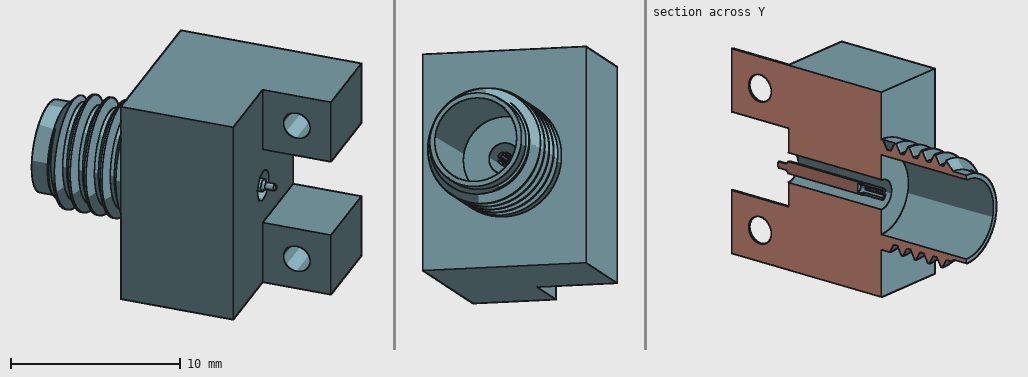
import cadquery as cq

total_length = 17.9
block_width = 10.0
block_height = 13.0
block_front = 6.48
block_back = 13.59
tab_height = 4.03
tab_front_y = -0.09
tab_hole_radius = 0.85
tab_hole_height = 4.5
tab_length = total_length - block_back
tab_hole_x = block_back + tab_length / 2

nose_radius = 2.81
nose_length = 1.0
thread_radius = 3.5
lead_chamfer = thread_radius - nose_radius
mouth_radius = 2.5
mouth_depth = block_front
bore_radius = 0.93

pitch = 1.0
thread_turns = 5
groove_end = 5.92
groove_start = groove_end - thread_turns * pitch
root_radius = 2.95
root_width = 0.25
crest_width = 0.13
flank_run = (pitch - root_width - crest_width) / 2
groove_overshoot = 0.05

contact_radius = 0.4
contact_front = mouth_depth
tail_radius = 0.21
tail_length = 0.82
tip_chamfer = 0.1
socket_radius = 0.25
socket_depth = 1.79
slot_width = 0.2
slot_depth = 1.43


def make_block():
    depth = block_back - block_front
    return cq.Workplane("XY").box(depth, block_width, block_height).translate(
        ((block_front + block_back) / 2, 0, 0)
    )


def make_tab(side):
    """Mounting tab behind the block: side is +1 for the upper tab, -1 for the lower."""
    tab_depth = block_width / 2 - tab_front_y
    tab = cq.Workplane("XY").box(tab_length, tab_depth, tab_height).translate(
        (tab_hole_x, tab_front_y + tab_depth / 2, side * (block_height - tab_height) / 2)
    )
    hole = (
        cq.Workplane("XZ", origin=(tab_hole_x, 0, side * tab_hole_height))
        .circle(tab_hole_radius)
        .extrude(block_width, both=True)
    )
    return tab.cut(hole)


def make_barrel():
    return (
        cq.Workplane("XY")
        .moveTo(0, 0)
        .lineTo(0, nose_radius)
        .lineTo(nose_length, nose_radius)
        .lineTo(nose_length + lead_chamfer, thread_radius)
        .lineTo(block_front, thread_radius)
        .lineTo(block_front, 0)
        .close()
        .revolve(360, (0, 0, 0), (1, 0, 0))
    )


def make_thread_groove():
    """Right-hand trapezoidal helix cutter, built along local Z and laid along X."""
    slope = flank_run / (thread_radius - root_radius)
    cutter_radius = thread_radius + groove_overshoot
    half_root = root_width / 2
    half_mouth = half_root + slope * (cutter_radius - root_radius)
    helix = cq.Wire.makeHelix(pitch, thread_turns * pitch, root_radius)
    groove = (
        cq.Workplane("XZ")
        .moveTo(root_radius, -half_root)
        .lineTo(cutter_radius, -half_mouth)
        .lineTo(cutter_radius, half_mouth)
        .lineTo(root_radius, half_root)
        .close()
        .sweep(cq.Workplane(helix), isFrenet=True)
    )
    axis_plane = cq.Plane(origin=(groove_start, 0, 0), xDir=(0, 0, 1), normal=(1, 0, 0))
    return cq.Workplane(groove.val().moved(cq.Location(axis_plane)))


def make_housing():
    housing = make_block().union(make_barrel().cut(make_thread_groove()))
    for side in (1, -1):
        housing = housing.union(make_tab(side))
    mouth = cq.Workplane("YZ").circle(mouth_radius).extrude(mouth_depth)
    bore = cq.Workplane("YZ").circle(bore_radius).extrude(block_back)
    return housing.cut(mouth).cut(bore)


def make_contact_slot(angle):
    """Slot right across the socket mouth, turned about the axis by angle in degrees."""
    return (
        cq.Workplane("YZ", origin=(contact_front, 0, 0))
        .rect(2 * bore_radius, slot_width)
        .extrude(slot_depth)
        .rotate((0, 0, 0), (1, 0, 0), angle)
    )


def make_contact():
    """Turned contact: slotted socket at the front, coned shoulder and a thin chamfered tail."""
    tail_end = block_back + tail_length
    shoulder_length = contact_radius - tail_radius
    contact = (
        cq.Workplane("XY")
        .moveTo(contact_front, 0)
        .lineTo(contact_front, contact_radius)
        .lineTo(block_back, contact_radius)
        .lineTo(block_back + shoulder_length, tail_radius)
        .lineTo(tail_end - tip_chamfer, tail_radius)
        .lineTo(tail_end, tail_radius - tip_chamfer)
        .lineTo(tail_end, 0)
        .close()
        .revolve(360, (0, 0, 0), (1, 0, 0))
    )
    socket = (
        cq.Workplane("YZ", origin=(contact_front, 0, 0)).circle(socket_radius).extrude(socket_depth)
    )
    contact = contact.cut(socket)
    for angle in (0, 90):
        contact = contact.cut(make_contact_slot(angle))
    return contact


housing = make_housing()
contact = make_contact()
result = cq.Compound.makeCompound([housing.val(), contact.val()])